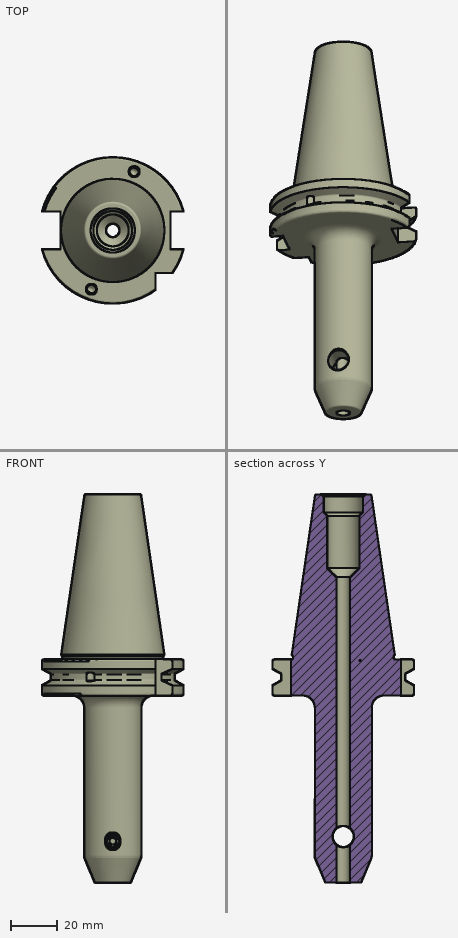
import cadquery as cq
import math


tip_z = 68.4
gauge_radius = 22.2
taper_slope = 7 / 48
taper_end_z = -1.2
tip_radius = gauge_radius - tip_z * taper_slope
taper_end_radius = gauge_radius - taper_end_z * taper_slope
tip_rounding = 1.0
neck_radius = 21.9
neck_fillet = 0.7
neck_top_z = -2.0

flange_diameter = 63.5
flange_radius = flange_diameter / 2
flange_top_z = -3.2
flange_bottom_z = -19.0
flange_rounding = 1.0
groove_mid_z = -11.0
groove_mouth = 7.0
groove_flank_angle = 30
groove_floor_radius = 28.1
groove_floor_rounding = 0.5
groove_depth = flange_radius - groove_floor_radius
groove_floor_width = groove_mouth - 2 * groove_depth * math.tan(math.radians(groove_flank_angle))
groove_floor_top_z = groove_mid_z + groove_floor_width / 2
groove_floor_bottom_z = groove_mid_z - groove_floor_width / 2

slot_width = 16.2
left_slot_x = 22.7
right_slot_x = 25.1
notch_edge = 18.5

total_length = 168.4
nose_z = tip_z - total_length
spindle_radius = 12.5
spindle_fillet = 5.0
nose_height = 11.1
nose_end_diameter = 15.7
nose_end_radius = nose_end_diameter / 2
nose_shoulder_rounding = 2.7
nose_end_rounding = 0.8

through_radius = 2.9
mouth_radius = 9.6
pilot_radius = 8.5
pilot_depth = 7.9
thread_radius = 6.9
thread_depth = 32.0
bore_point_half_angle = 45

coolant_circle_radius = 27.1
coolant_angle = 70
coolant_diameter = 4.0
coolant_rim_diameter = 4.7

screw_height = 18.0
screw_rim_diameter = 7.7
screw_hole_diameter = 6.0
screw_face_diameter = 5.0
screw_face_depth = 1.5
socket_diameter = 3.0
socket_depth = 1.0
clamp_height = 20.0
clamp_rim_diameter = 10.1
clamp_hole_diameter = 9.1

match_tolerance = 0.02


def raised(solid, z):
    """Move a solid up the holder axis."""
    return solid.translate((0, 0, z))


def cone(bottom_radius, top_radius, height):
    """Cone frustum standing on Z = 0."""
    return cq.Workplane(cq.Solid.makeCone(bottom_radius, top_radius, height))


def drilled(radius, depth, point_end_radius=0):
    """Bore going down from Z = 0, ending in a conical bottom."""
    point_height = (radius - point_end_radius) / math.tan(math.radians(bore_point_half_angle))
    bore = raised(cq.Workplane().circle(radius).extrude(depth), -depth)
    return bore.union(raised(cone(point_end_radius, radius, point_height), -depth - point_height))


def countersink(hole_diameter, rim_diameter):
    """45 degree cone whose rim lies at Z = 0, continued above it."""
    flare = (rim_diameter - hole_diameter) / 2
    return raised(cone(hole_diameter / 2, rim_diameter / 2 + flare, 2 * flare), -flare)


def ring_edge(body, z, radius):
    """Select the circular edges at height z with the given radius."""
    def matches(edge):
        box = edge.BoundingBox()
        flat_at_z = max(abs(box.zmin - z), abs(box.zmax - z)) < match_tolerance
        is_circle = edge.geomType() == "CIRCLE"
        return flat_at_z and is_circle and abs(edge.radius() - radius) < match_tolerance

    return body.newObject([edge for edge in body.edges().vals() if matches(edge)])


def turned_body():
    """Taper, flange and spindle turned as one profile, then rounded."""
    half_mouth = groove_mouth / 2
    profile = [
        (0, tip_z),
        (tip_radius, tip_z),
        (taper_end_radius, taper_end_z),
        (neck_radius, neck_top_z),
        (neck_radius, flange_top_z),
        (flange_radius, flange_top_z),
        (flange_radius, groove_mid_z + half_mouth),
        (groove_floor_radius, groove_floor_top_z),
        (groove_floor_radius, groove_floor_bottom_z),
        (flange_radius, groove_mid_z - half_mouth),
        (flange_radius, flange_bottom_z),
        (spindle_radius, flange_bottom_z),
        (spindle_radius, nose_z + nose_height),
        (nose_end_radius, nose_z),
        (0, nose_z),
    ]
    body = cq.Workplane("XZ").polyline(profile).close().revolve(360, (0, 0, 0), (0, 1, 0))
    roundings = [
        (tip_z, tip_radius, tip_rounding),
        (flange_top_z, neck_radius, neck_fillet),
        (flange_top_z, flange_radius, flange_rounding),
        (groove_floor_top_z, groove_floor_radius, groove_floor_rounding),
        (groove_floor_bottom_z, groove_floor_radius, groove_floor_rounding),
        (flange_bottom_z, flange_radius, flange_rounding),
        (flange_bottom_z, spindle_radius, spindle_fillet),
        (nose_z + nose_height, spindle_radius, nose_shoulder_rounding),
        (nose_z, nose_end_radius, nose_end_rounding),
    ]
    for z, radius, rounding in roundings:
        body = ring_edge(body, z, radius).fillet(rounding)
    return body


def flange_cutouts():
    """Two drive slots and the corner notch, all passing through the flange."""
    reach = 2 * flange_radius
    height = flange_top_z - flange_bottom_z

    def block(size_x, size_y, x, y):
        box = cq.Workplane().box(size_x, size_y, height, centered=(False, False, False))
        return box.translate((x, y, flange_bottom_z))

    left_slot = block(reach, slot_width, -left_slot_x - reach, -slot_width / 2)
    right_slot = block(reach, slot_width, right_slot_x, -slot_width / 2)
    notch = block(reach, reach, notch_edge, -notch_edge - reach)
    return left_slot.union(right_slot).union(notch)


def axial_bores():
    """Through bore, wider thread and pilot bores from the tip, and their countersunk mouth."""
    through = raised(cq.Workplane().circle(through_radius).extrude(total_length), nose_z)
    thread = drilled(thread_radius, thread_depth, through_radius)
    pilot = drilled(pilot_radius, pilot_depth, thread_radius)
    mouth = countersink(2 * pilot_radius, 2 * mouth_radius)
    return through.union(raised(thread.union(pilot).union(mouth), tip_z))


def coolant_holes():
    """Two countersunk holes from the flange face down through the V-groove."""
    depth = flange_top_z - groove_floor_bottom_z
    hole = drilled(coolant_diameter / 2, depth)
    hole = hole.union(countersink(coolant_diameter, coolant_rim_diameter))
    hole = hole.translate((coolant_circle_radius, 0, flange_top_z))
    first = hole.rotate((0, 0, 0), (0, 0, 1), coolant_angle)
    return first.union(first.rotate((0, 0, 0), (0, 0, 1), 180))


def cross_hole(shape, tilt, height):
    """Turn a hole made along -Z so that it enters the spindle from the side."""
    turned = raised(shape, spindle_radius).rotate((0, 0, 0), (1, 0, 0), tilt)
    return raised(turned, nose_z + height)


def screw_hole():
    """Countersunk hole on the -Y side, closed by a chamfered screw with a round socket."""
    chamfer = (screw_hole_diameter - screw_face_diameter) / 2
    hole_depth = screw_face_depth + chamfer
    hole = cq.Workplane().circle(screw_hole_diameter / 2).extrude(-hole_depth)
    hole = hole.union(countersink(screw_hole_diameter, screw_rim_diameter))
    screw_end = cone(screw_hole_diameter / 2, screw_face_diameter / 2, chamfer)
    socket = cq.Workplane().circle(socket_diameter / 2).extrude(-screw_face_depth - socket_depth)
    hole = hole.cut(raised(screw_end, -hole_depth)).union(socket)
    return cross_hole(hole, 90, screw_height)


def clamp_hole():
    """Countersunk hole on the +Y side, reaching the central bore."""
    shape = cq.Workplane().circle(clamp_hole_diameter / 2).extrude(-spindle_radius)
    shape = shape.union(countersink(clamp_hole_diameter, clamp_rim_diameter))
    return cross_hole(shape, -90, clamp_height)


result = turned_body()
for cutter in (flange_cutouts(), axial_bores(), coolant_holes(), screw_hole(), clamp_hole()):
    result = result.cut(cutter)